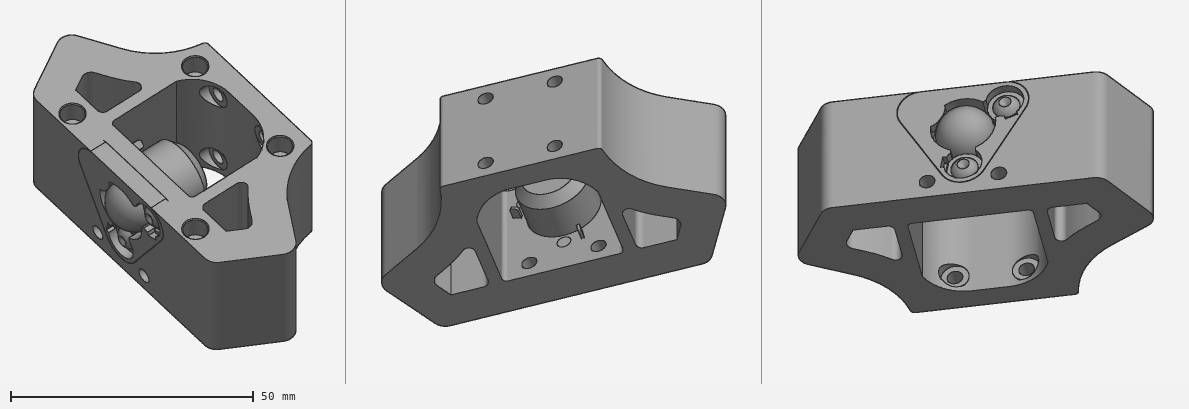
import cadquery as cq
import math

WIDTH = 74.3
HEIGHT = 28.0
DEPTH = 37.0
WING_CORNER_RADIUS = 3.2
BACK_CORNER_RADIUS = 1.0
FRONT_CORNER_X = 29.1
SHOULDER_ANGLE = math.radians(30)
ROUNDING_LOSS = WING_CORNER_RADIUS * (math.cos(SHOULDER_ANGLE) + math.sin(SHOULDER_ANGLE) - 1)
SIDE_CORNER_X = WIDTH / 2 + ROUNDING_LOSS
SIDE_CORNER_Y = (SIDE_CORNER_X - FRONT_CORNER_X) / math.tan(SHOULDER_ANGLE)
WAIST_X = 27.05
WAIST_Y = SIDE_CORNER_Y + (SIDE_CORNER_X - WAIST_X) * math.tan(SHOULDER_ANGLE)
WAIST_RADIUS = 19.3

WALL = 8.0
CAVITY_HALF_WIDTH = 13.15
CAVITY_BACK_Y = 32.0
CAVITY_FLAT_HALF = 3.9
CAVITY_SIDE_TOP_Y = 25.55
CAVITY_FRONT_RADIUS = 1.05
POCKET_INNER_X = 16.0
POCKET_INNER_RADIUS = 1.4
POCKET_OUTER_RADIUS = 2.0

MAGNET_DIAMETER = 5.2
MAGNET_DEPTH = 5.0
MAGNET_CHAMFER = 0.2
MAGNET_CENTRES = [(13.8, 31.1), (20.0, 3.5)]
MOUNT_X = 7.5
MOUNT_EDGE = 4.0
MOUNT_DIAMETER = 3.3
MOUNT_HEAD_DIAMETER = 5.95
MOUNT_SEAT_Y = CAVITY_BACK_Y

AXIS_Z = 18.0
BALL_DIAMETER = 12.7
BALL_PROTRUSION = 2.45
BALL_Y = BALL_DIAMETER / 2 - BALL_PROTRUSION
CUP_DIAMETER = 15.9
CUP_BORE_DIAMETER = 16.1
CUP_BACK_Y = 18.1
CUP_END_DIAMETER = 11.7
CUP_TAPER = 2.2
CUP_MOUTH_DIAMETER = 14.55
CUP_MOUTH_DEPTH = 0.9

RETAINER_THICKNESS = 4.0
CORNER_DISTANCE = 10.1
CORNER_RADIUS = 5.0
RETAINER_POCKET_DIAMETER = 10.2
OPENING_DIAMETER = 13.7
BALL_CLEARANCE_RADIUS = 6.5
COUNTERBORE_DIAMETER = 7.95
COUNTERBORE_DEPTH = 2.0
SCREW_CLEARANCE = 3.3
NOTCH_WIDTH = 5.2

SCREW_DIAMETER = 3.0
HEAD_DIAMETER = 5.7
HEAD_HEIGHT = 1.6
HEAD_RIM = 0.15
SOCKET_DIAMETER = 2.5
SOCKET_DEPTH = 1.0
SCREW_END_Y = WALL

PIN_OFFSET_X = 10.0
PIN_OFFSET_Z = 1.3
PIN_TILT = 20.0
PIN_WIDTH = 1.9
PIN_THICKNESS = 0.7
PIN_FRONT_Y = 1.35
PIN_BACK_Y = 10.55
PIN_ROUNDING = 0.6
SLOT_LENGTH = 2.7
SLOT_WIDTH = 1.1

CORNER_ANGLE = 30.0
CORNER_TURNS = [0, 120, 240]
SCREW_TURNS = CORNER_TURNS[:2]
OVERCUT = 0.75


def corner_point(turn):
    angle = math.radians(CORNER_ANGLE - turn)
    return (CORNER_DISTANCE * math.cos(angle), AXIS_Z + CORNER_DISTANCE * math.sin(angle))


def front_plane(y=0.0):
    """Workplane facing the front at depth y; extrude by a negative length to go backwards."""
    return cq.Workplane("XZ", origin=(0, y, 0))


def rod(x, z, diameter, y_start, y_end):
    return front_plane(y_start).center(x, z).circle(diameter / 2).extrude(y_start - y_end)


def turn_about_axis(body, angle):
    return body.rotate((0, 0, AXIS_Z), (0, 1, AXIS_Z), angle)


def pin_block(length, width, y_start, y_end, turn):
    """Flat bar along Y at the pin position of one corner."""
    block = front_plane(y_start).rect(length, width).extrude(y_start - y_end)
    block = block.rotate((0, 0, 0), (0, 1, 0), -PIN_TILT)
    block = block.translate((PIN_OFFSET_X, 0, AXIS_Z + PIN_OFFSET_Z))
    return turn_about_axis(block, turn)


def triangle(radius, thickness):
    """Triangle through the three corners, widened by a radius."""
    corners = [corner_point(turn) for turn in CORNER_TURNS]
    return front_plane().polyline(corners).close().offset2D(radius).extrude(-thickness)


def waist_centre():
    return (
        WAIST_X + WAIST_RADIUS * math.sin(SHOULDER_ANGLE),
        WAIST_Y + WAIST_RADIUS * math.cos(SHOULDER_ANGLE),
    )


def waist_arc_y(x, radius):
    """Y of the front half of a circle around the waist centre."""
    centre_x, centre_y = waist_centre()
    return centre_y - math.sqrt(radius**2 - (centre_x - x) ** 2)


def outer_block():
    centre_x, centre_y = waist_centre()
    arc_end_x = centre_x - math.sqrt(WAIST_RADIUS**2 - (DEPTH - centre_y) ** 2)
    middle_x = (WAIST_X + arc_end_x) / 2
    middle_y = waist_arc_y(middle_x, WAIST_RADIUS)
    block = (
        cq.Workplane("XY")
        .moveTo(-FRONT_CORNER_X, 0)
        .lineTo(FRONT_CORNER_X, 0)
        .lineTo(SIDE_CORNER_X, SIDE_CORNER_Y)
        .lineTo(WAIST_X, WAIST_Y)
        .threePointArc((middle_x, middle_y), (arc_end_x, DEPTH))
        .lineTo(-arc_end_x, DEPTH)
        .threePointArc((-middle_x, middle_y), (-WAIST_X, WAIST_Y))
        .lineTo(-SIDE_CORNER_X, SIDE_CORNER_Y)
        .close()
        .extrude(HEIGHT)
    )
    wing_corners = cq.selectors.BoxSelector(
        (-WIDTH, -OVERCUT, 0), (WIDTH, SIDE_CORNER_Y + OVERCUT, HEIGHT)
    )
    block = block.edges("|Z").edges(wing_corners).fillet(WING_CORNER_RADIUS)
    return block.edges("|Z and >Y").fillet(BACK_CORNER_RADIUS)


def cavity():
    arc_width = CAVITY_HALF_WIDTH - CAVITY_FLAT_HALF
    return (
        cq.Workplane("XY")
        .moveTo(-CAVITY_FLAT_HALF, CAVITY_BACK_Y)
        .lineTo(CAVITY_FLAT_HALF, CAVITY_BACK_Y)
        .tangentArcPoint((arc_width, CAVITY_SIDE_TOP_Y - CAVITY_BACK_Y))
        .lineTo(CAVITY_HALF_WIDTH, WALL)
        .lineTo(-CAVITY_HALF_WIDTH, WALL)
        .lineTo(-CAVITY_HALF_WIDTH, CAVITY_SIDE_TOP_Y)
        .threePointArc(cavity_arc_middle(), (-CAVITY_FLAT_HALF, CAVITY_BACK_Y))
        .close()
        .extrude(HEIGHT)
        .edges("|Z and <Y")
        .fillet(CAVITY_FRONT_RADIUS)
    )


def cavity_arc_middle():
    """Point halfway along the left back arc, which is tangent to the back wall."""
    width = CAVITY_HALF_WIDTH - CAVITY_FLAT_HALF
    drop = CAVITY_BACK_Y - CAVITY_SIDE_TOP_Y
    radius = (width**2 + drop**2) / (2 * drop)
    half_sweep = math.acos((radius - drop) / radius) / 2
    return (
        -CAVITY_FLAT_HALF - radius * math.sin(half_sweep),
        CAVITY_BACK_Y - radius * (1 - math.cos(half_sweep)),
    )


def wing_pocket():
    """Right-hand pocket, whose outer walls keep one thickness from the outline."""
    inner_radius = WAIST_RADIUS + WALL
    front_x = FRONT_CORNER_X + WALL * math.tan(SHOULDER_ANGLE) - WALL / math.cos(SHOULDER_ANGLE)
    tangent_x = WAIST_X - WALL * math.sin(SHOULDER_ANGLE)
    tangent_y = WAIST_Y - WALL * math.cos(SHOULDER_ANGLE)
    shift = WALL * (math.cos(SHOULDER_ANGLE) + math.sin(SHOULDER_ANGLE))
    lift = WALL * (math.cos(SHOULDER_ANGLE) - math.sin(SHOULDER_ANGLE))
    middle_x = (tangent_x + POCKET_INNER_X) / 2
    pocket = (
        cq.Workplane("XY")
        .moveTo(POCKET_INNER_X, WALL)
        .lineTo(front_x, WALL)
        .lineTo(SIDE_CORNER_X - shift, SIDE_CORNER_Y - lift)
        .lineTo(tangent_x, tangent_y)
        .threePointArc(
            (middle_x, waist_arc_y(middle_x, inner_radius)),
            (POCKET_INNER_X, waist_arc_y(POCKET_INNER_X, inner_radius)),
        )
        .close()
        .extrude(HEIGHT)
    )
    pocket = pocket.edges("|Z and >X").fillet(POCKET_OUTER_RADIUS)
    return pocket.edges("|Z and <X").fillet(POCKET_INNER_RADIUS)


def magnet_hole(x, y):
    hole = cq.Workplane("XY", origin=(x, y, HEIGHT - MAGNET_DEPTH))
    hole = hole.circle(MAGNET_DIAMETER / 2).extrude(MAGNET_DEPTH)
    rim = cq.Workplane("XY", origin=(x, y, HEIGHT)).circle(MAGNET_DIAMETER / 2 + MAGNET_CHAMFER)
    return hole.union(rim.extrude(-MAGNET_CHAMFER, taper=45))


def make_housing():
    body = outer_block().cut(cavity())
    pocket = wing_pocket()
    body = body.cut(pocket).cut(pocket.mirror("YZ"))
    for x, y in MAGNET_CENTRES:
        for side in (-1, 1):
            body = body.cut(magnet_hole(side * x, y))
    for x in (-MOUNT_X, MOUNT_X):
        body = body.cut(rod(x, MOUNT_EDGE, MOUNT_DIAMETER, 0, WALL))
        for z in (MOUNT_EDGE, HEIGHT - MOUNT_EDGE):
            body = body.cut(rod(x, z, MOUNT_DIAMETER, MOUNT_SEAT_Y, DEPTH))
            body = body.cut(rod(x, z, MOUNT_HEAD_DIAMETER, CAVITY_SIDE_TOP_Y, MOUNT_SEAT_Y))
    body = body.cut(triangle(RETAINER_POCKET_DIAMETER / 2, RETAINER_THICKNESS))
    body = body.cut(rod(0, AXIS_Z, CUP_BORE_DIAMETER, 0, WALL + OVERCUT))
    for turn in SCREW_TURNS:
        body = body.cut(rod(*corner_point(turn), SCREW_DIAMETER, 0, SCREW_END_Y))
    for turn in CORNER_TURNS:
        body = body.cut(pin_block(PIN_WIDTH, PIN_THICKNESS, 0, WALL, turn))
    return body


def make_retainer():
    body = triangle(CORNER_RADIUS, RETAINER_THICKNESS)
    body = body.cut(rod(0, AXIS_Z, OPENING_DIAMETER, 0, RETAINER_THICKNESS))
    disc = rod(*corner_point(CORNER_TURNS[2]), 2 * CORNER_RADIUS, 0, COUNTERBORE_DEPTH)
    ball_space = cq.Workplane("XY").sphere(BALL_CLEARANCE_RADIUS).translate((0, BALL_Y, AXIS_Z))
    body = body.union(disc.cut(ball_space))
    for turn in SCREW_TURNS:
        x, z = corner_point(turn)
        seat = rod(x, z, COUNTERBORE_DIAMETER, COUNTERBORE_DEPTH, RETAINER_THICKNESS)
        body = body.cut(corner_notch(turn)).union(seat.cut(ball_space))
        counterbore = rod(x, z, COUNTERBORE_DIAMETER, 0, COUNTERBORE_DEPTH)
        body = body.cut(counterbore)
        body = body.cut(rod(x, z, SCREW_CLEARANCE, 0, RETAINER_THICKNESS))
        body = body.cut(pin_block(SLOT_LENGTH, SLOT_WIDTH, 0, COUNTERBORE_DEPTH, turn))
    for turn in CORNER_TURNS:
        body = body.cut(pin_block(PIN_WIDTH, PIN_THICKNESS, PIN_FRONT_Y, RETAINER_THICKNESS, turn))
    return body


def corner_notch(turn):
    """Gap that opens a counterbore towards the ball, beside the screw seat."""
    notch = front_plane().center(CORNER_DISTANCE / 2, AXIS_Z)
    notch = notch.rect(CORNER_DISTANCE, NOTCH_WIDTH).extrude(-RETAINER_THICKNESS)
    notch = turn_about_axis(notch, turn - CORNER_ANGLE)
    return notch.cut(rod(*corner_point(turn), COUNTERBORE_DIAMETER, 0, RETAINER_THICKNESS))


def make_ball():
    return cq.Workplane("XY").sphere(BALL_DIAMETER / 2).translate((0, BALL_Y, AXIS_Z))


def make_cup():
    """Cup with a tapered back end and a flared mouth, hollowed to hold the ball."""
    mouth_y = RETAINER_THICKNESS
    profile = [
        (0, mouth_y + CUP_MOUTH_DEPTH),
        (BALL_DIAMETER / 2 - CUP_MOUTH_DEPTH, mouth_y + CUP_MOUTH_DEPTH),
        (CUP_MOUTH_DIAMETER / 2, mouth_y),
        (CUP_DIAMETER / 2, mouth_y),
        (CUP_DIAMETER / 2, CUP_BACK_Y - CUP_TAPER),
        (CUP_END_DIAMETER / 2, CUP_BACK_Y),
        (0, CUP_BACK_Y),
    ]
    cup = cq.Workplane("XY").polyline(profile).close().revolve(360, (0, 0), (0, 1))
    return cup.translate((0, 0, AXIS_Z)).cut(make_ball())


def make_screw(turn):
    """Button-head screw with a conical drive recess."""
    seat_y = COUNTERBORE_DEPTH
    top_y = seat_y - HEAD_HEIGHT
    head_radius = HEAD_DIAMETER / 2
    socket_radius = SOCKET_DIAMETER / 2
    dome_height = HEAD_HEIGHT - HEAD_RIM
    centre_depth = (head_radius**2 - socket_radius**2 + dome_height**2) / (2 * dome_height)
    dome_radius = math.hypot(centre_depth, socket_radius)
    dome_centre_y = top_y + centre_depth
    middle_radius = (head_radius + socket_radius) / 2
    middle_y = dome_centre_y - math.sqrt(dome_radius**2 - middle_radius**2)
    screw = (
        cq.Workplane("XY")
        .moveTo(0, top_y + SOCKET_DEPTH)
        .lineTo(socket_radius, top_y)
        .threePointArc((middle_radius, middle_y), (head_radius, seat_y - HEAD_RIM))
        .lineTo(head_radius, seat_y)
        .lineTo(SCREW_DIAMETER / 2, seat_y)
        .lineTo(SCREW_DIAMETER / 2, SCREW_END_Y)
        .lineTo(0, SCREW_END_Y)
        .close()
        .revolve(360, (0, 0), (0, 1))
    )
    x, z = corner_point(turn)
    return screw.translate((x, 0, z))


def make_pin(turn):
    """Flat locking pin with rounded ends."""
    pin = front_plane(PIN_FRONT_Y).rect(PIN_WIDTH, PIN_THICKNESS).extrude(PIN_FRONT_Y - PIN_BACK_Y)
    pin = pin.edges("|Z").fillet(PIN_ROUNDING)
    pin = pin.rotate((0, 0, 0), (0, 1, 0), -PIN_TILT)
    return turn_about_axis(pin.translate((PIN_OFFSET_X, 0, AXIS_Z + PIN_OFFSET_Z)), turn)


housing = make_housing()
retainer = make_retainer()
ball = make_ball()
cup = make_cup()
screws = [make_screw(turn).val() for turn in SCREW_TURNS]
pins = [make_pin(turn).val() for turn in CORNER_TURNS]

result = cq.Compound.makeCompound(
    [housing.val(), retainer.val(), ball.val(), cup.val(), *screws, *pins]
)